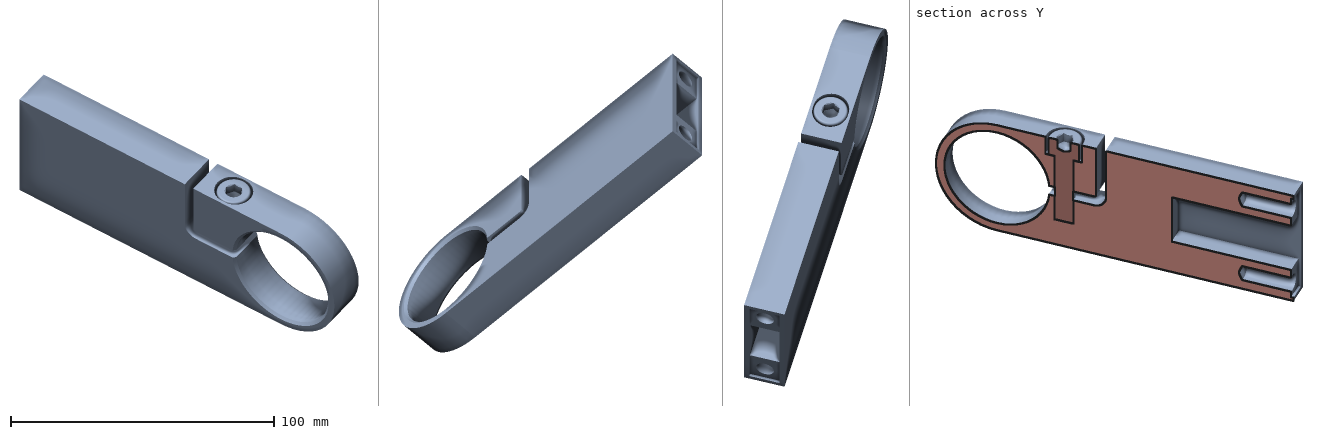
import cadquery as cq
import math

length = 146.4
thickness = 16.0
height = 50.0

ring_x = length - height / 2
bore_radius = 21.4
bore_chamfer = 1.0

slot_gap = 4.0
slot_left = 76.9
slot_outer_radius = 5.0
slot_inner_radius = slot_outer_radius - slot_gap
slot_right = slot_left + slot_gap
slot_top = slot_gap / 2
slot_bottom = -slot_gap / 2

recess_depth = 1.0
recess_width = 11.9
recess_height = 46.5
pocket_depth = 49.8
pocket_height = 20.8
mount_hole_diameter = 7.0
mount_hole_spacing = 35.0
mount_hole_depth = 20.0
drill_tip_angle = 118.0

screw_x = 94.0
shank_diameter = 8.0
shank_length = 30.0
head_diameter = 13.0
head_height = 8.0
head_fillet = 0.9
socket_sides = 6
socket_flats = 6.0
socket_rim_diameter = 6.9
socket_rim_depth = 0.5
socket_rim_slope = 45.0
socket_depth = 4.0

counterbore_length = 15.1
counterbore_width = 13.8

top_z = height / 2
head_seat_z = top_z - head_height
screw_tip_z = head_seat_z - shank_length


def tip_height(diameter):
    """Height of the conical end that a drill of this diameter leaves."""
    return diameter / 2 / math.tan(math.radians(drill_tip_angle / 2))


def revolved_drill(diameter, depth):
    """Drill-shaped solid along -Z: a cylinder from Z = 0 to -depth, then a cone."""
    radius = diameter / 2
    return (
        cq.Workplane("XZ")
        .moveTo(0, 0)
        .lineTo(radius, 0)
        .lineTo(radius, -depth)
        .lineTo(0, -depth - tip_height(diameter))
        .close()
        .revolve(360, (0, 0), (0, 1))
    )


def make_blank():
    """Flat bar with a full-round end."""
    return (
        cq.Workplane("XZ")
        .moveTo(0, -height / 2)
        .lineTo(ring_x, -height / 2)
        .threePointArc((length, 0), (ring_x, height / 2))
        .lineTo(0, height / 2)
        .close()
        .extrude(thickness / 2, both=True)
    )


def make_bore():
    """Ring bore with a chamfer at both faces."""
    half = thickness / 2
    wide_radius = bore_radius + bore_chamfer
    profile = [
        (0, -half),
        (wide_radius, -half),
        (bore_radius, bore_chamfer - half),
        (bore_radius, half - bore_chamfer),
        (wide_radius, half),
        (0, half),
    ]
    bore = cq.Workplane("XY").polyline(profile).close().revolve(360, (0, 0), (0, 1))
    return bore.translate((ring_x, 0, 0))


def make_slot():
    """L-shaped slot whose corner arcs share one centre."""
    return (
        cq.Workplane("XZ")
        .moveTo(slot_left, top_z)
        .lineTo(slot_left, slot_bottom + slot_outer_radius)
        .radiusArc((slot_left + slot_outer_radius, slot_bottom), -slot_outer_radius)
        .lineTo(ring_x, slot_bottom)
        .lineTo(ring_x, slot_top)
        .lineTo(slot_right + slot_inner_radius, slot_top)
        .radiusArc((slot_right, slot_top + slot_inner_radius), slot_inner_radius)
        .lineTo(slot_right, top_z)
        .close()
        .extrude(thickness / 2, both=True)
    )


def end_pocket(depth, pocket_z_size):
    """Rectangular pocket cut into the mounting end."""
    return cq.Workplane("YZ").rect(recess_width, pocket_z_size).extrude(depth)


def make_mount_hole(z):
    """Blind drilled hole running along +X from the recess floor."""
    drill = revolved_drill(mount_hole_diameter, mount_hole_depth)
    return drill.rotate((0, 0, 0), (0, 1, 0), -90).translate((recess_depth, 0, z))


def make_shank():
    """Screw shank, which is also the shape of the hole that it fills."""
    return (
        cq.Workplane("XY", origin=(screw_x, 0, screw_tip_z))
        .circle(shank_diameter / 2)
        .extrude(shank_length)
    )


def make_screw_hole():
    """Oblong counterbore and the hole that fits the screw shank."""
    counterbore = (
        cq.Workplane("XY", origin=(screw_x, 0, head_seat_z))
        .slot2D(counterbore_length, counterbore_width)
        .extrude(head_height)
    )
    return counterbore.union(make_shank())


def make_housing():
    housing = make_blank().cut(make_bore()).cut(make_slot()).cut(make_screw_hole())
    housing = housing.cut(end_pocket(recess_depth, recess_height))
    housing = housing.cut(end_pocket(pocket_depth, pocket_height))
    for side in (-1, 1):
        housing = housing.cut(make_mount_hole(side * mount_hole_spacing / 2))
    return housing


def make_screw():
    """Socket-head screw with a rounded head rim and a drilled hexagon socket with a countersunk mouth."""
    head = (
        cq.Workplane("XY", origin=(screw_x, 0, head_seat_z))
        .circle(head_diameter / 2)
        .extrude(head_height)
        .faces(">Z")
        .edges()
        .fillet(head_fillet)
    )
    socket_corners = socket_flats / math.cos(math.pi / socket_sides)
    socket = (
        cq.Workplane("XY", origin=(screw_x, 0, top_z))
        .polygon(socket_sides, socket_corners)
        .extrude(-socket_depth)
    )
    socket_tip = revolved_drill(socket_flats, socket_depth).translate((screw_x, 0, top_z))
    socket_rim = (
        cq.Workplane("XY", origin=(screw_x, 0, top_z))
        .circle(socket_rim_diameter / 2)
        .extrude(-socket_rim_depth, taper=socket_rim_slope)
    )
    return head.union(make_shank()).cut(socket).cut(socket_tip).cut(socket_rim)


housing = make_housing()
screw = make_screw()
result = cq.Compound.makeCompound([housing.val(), screw.val()])